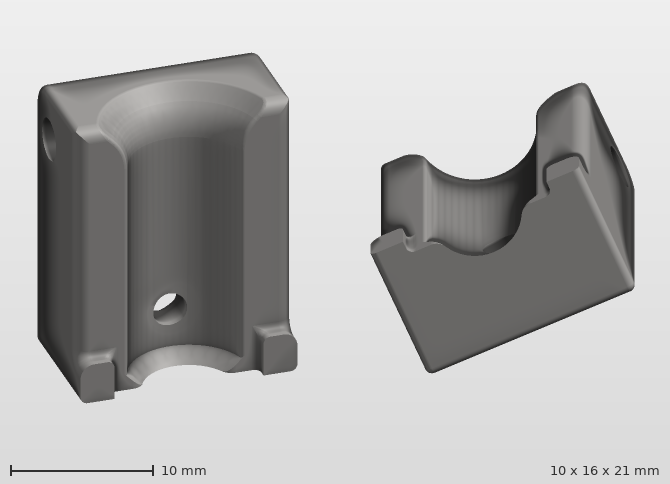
import cadquery as cq
import math

height = 21.0
width = 16.0
depth = 10.0
foot_reach = 1.0
foot_height = 3.0
foot_width = 2.5
body_depth = depth - foot_reach

back_top_radius = 2.0
front_radius = 1.0
edge_radius = 0.5
rim_radius = 0.3

mouth_radius = 6.4
cone_end_radius = 5.31
mouth_angle = 45
bore_radius = 4.35
neck_radius = 3.3
neck_height = 1.05
neck_flare_radius = 1.0

pin_diameter = 3.1
pin_x = 3.0
pin_z = 17.5

screw_z = 4.0
screw_diameter = 2.5
screw_entry_radius = 0.5
counterbore_diameter = 6.05
counterbore_depth = 3.0
counterbore_chamfer = 0.5

TOL = 0.002
half_width = width / 2


def edges_where(solid, test):
    """Select the edges whose bounding box satisfies the test."""
    return solid.newObject([e for e in solid.edges().vals() if test(e.BoundingBox())])


def near(value, target):
    return abs(value - target) < TOL


def on_side(box):
    return near(box.ylen, 0) and near(abs(box.ymin), half_width)


def make_front_rounded_block():
    """L-shaped block whose front edges are rounded down the face and along the foot."""
    block = (
        cq.Workplane("XZ")
        .moveTo(0, 0)
        .lineTo(depth, 0)
        .lineTo(depth, foot_height)
        .lineTo(body_depth + edge_radius, foot_height)
        .radiusArc((body_depth, foot_height + edge_radius), edge_radius)
        .lineTo(body_depth, height)
        .lineTo(0, height)
        .close()
        .extrude(half_width, both=True)
    )
    return edges_where(
        block,
        lambda b: b.xmin > body_depth - TOL
        and b.zmin > foot_height - TOL
        and (on_side(b) or near(b.zmin, height)),
    ).fillet(front_radius)


def make_back_rounded_block():
    """Full block with a large back top radius and small radii on its other edges."""
    block = cq.Workplane("XY").box(depth, width, height, centered=(False, True, False))
    block = block.edges("<X and >Z").fillet(back_top_radius)
    return edges_where(
        block,
        lambda b: (on_side(b) and b.xmin < depth - TOL) or (near(b.xmax, 0) and near(b.zmax, 0)),
    ).fillet(edge_radius)


def make_foot_gap():
    """Space between the two feet, with rounded inner corners."""
    gap_width = width - 2 * foot_width
    gap = cq.Workplane("XY").box(foot_reach, gap_width, height, centered=(False, True, False))
    gap = gap.edges("|Z and <X").fillet(edge_radius)
    return gap.translate((body_depth, 0, 0))


def make_body():
    """Rounded block standing on two feet."""
    return make_front_rounded_block().intersect(make_back_rounded_block()).cut(make_foot_gap())


def make_groove():
    """Funnel-shaped bore: conical mouth, rounded shoulder, bore and narrow neck."""
    slope = math.radians(mouth_angle)
    mouth_drop = (mouth_radius - cone_end_radius) * math.tan(slope)
    shoulder_radius = (cone_end_radius - bore_radius) / (1 - math.cos(slope))
    cone_end_z = height - mouth_drop
    shoulder_end_z = cone_end_z - shoulder_radius * math.sin(slope)
    return (
        cq.Workplane("XZ")
        .moveTo(0, 0)
        .lineTo(neck_radius, 0)
        .lineTo(bore_radius, neck_height)
        .lineTo(bore_radius, shoulder_end_z)
        .radiusArc((cone_end_radius, cone_end_z), shoulder_radius)
        .lineTo(mouth_radius, height)
        .lineTo(0, height)
        .close()
        .revolve(360, (0, 0), (0, 1))
        .translate((depth, 0, 0))
    )


def make_neck_flare():
    """Prism that rounds the neck smoothly out into the front face on both sides."""
    arc_x = body_depth - neck_flare_radius
    axis_to_arc_x = depth - arc_x
    arc_y = math.sqrt((neck_radius + neck_flare_radius) ** 2 - axis_to_arc_x**2)
    share = neck_radius / (neck_radius + neck_flare_radius)
    touch_x = depth - axis_to_arc_x * share
    touch_y = arc_y * share
    return (
        cq.Workplane("XY")
        .moveTo(body_depth, -arc_y)
        .radiusArc((touch_x, -touch_y), -neck_flare_radius)
        .lineTo(touch_x, touch_y)
        .radiusArc((body_depth, arc_y), -neck_flare_radius)
        .close()
        .extrude(height)
    )


def make_screw_hole():
    """Through hole with a rounded entry, below a chamfered counterbore."""
    screw_radius = screw_diameter / 2
    bore = counterbore_diameter / 2
    entry_end = counterbore_depth + screw_entry_radius
    return (
        cq.Workplane("XY")
        .moveTo(0, 0)
        .lineTo(0, bore + counterbore_chamfer)
        .lineTo(counterbore_chamfer, bore)
        .lineTo(counterbore_depth, bore)
        .lineTo(counterbore_depth, screw_radius + screw_entry_radius)
        .radiusArc((entry_end, screw_radius), -screw_entry_radius)
        .lineTo(depth, screw_radius)
        .lineTo(depth, 0)
        .close()
        .revolve(360, (0, 0), (1, 0))
        .translate((0, 0, screw_z))
    )


def make_pin_hole():
    """Cross hole through the full width."""
    return (
        cq.Workplane("XZ")
        .center(pin_x, pin_z)
        .circle(pin_diameter / 2)
        .extrude(half_width, both=True)
    )


def round_groove_rim(body):
    """Round the groove rim on the top and front faces, above the neck."""

    def on_rim(box):
        inside_mouth = max(abs(box.ymin), abs(box.ymax)) < mouth_radius
        above_neck = box.zmin > neck_height - TOL
        on_top = near(box.zmin, height)
        behind_feet = box.xmax < body_depth + TOL
        on_front = behind_feet and box.xmin > body_depth - front_radius - TOL
        return inside_mouth and above_neck and (on_top or on_front)

    return edges_where(body, on_rim).fillet(rim_radius)


def round_foot_inner_edges(body):
    """Round the inner top edge of each foot."""

    def on_inner_edge(box):
        on_foot_top = near(box.zmin, foot_height)
        past_corner = box.xmin > body_depth + edge_radius - TOL
        on_inner_wall = near(box.ylen, 0) and near(abs(box.ymin), half_width - foot_width)
        return on_foot_top and past_corner and on_inner_wall

    return edges_where(body, on_inner_edge).fillet(edge_radius)


body = make_body().cut(make_groove())
body = round_groove_rim(body)
body = round_foot_inner_edges(body)
result = body.cut(make_neck_flare()).cut(make_screw_hole()).cut(make_pin_hole())